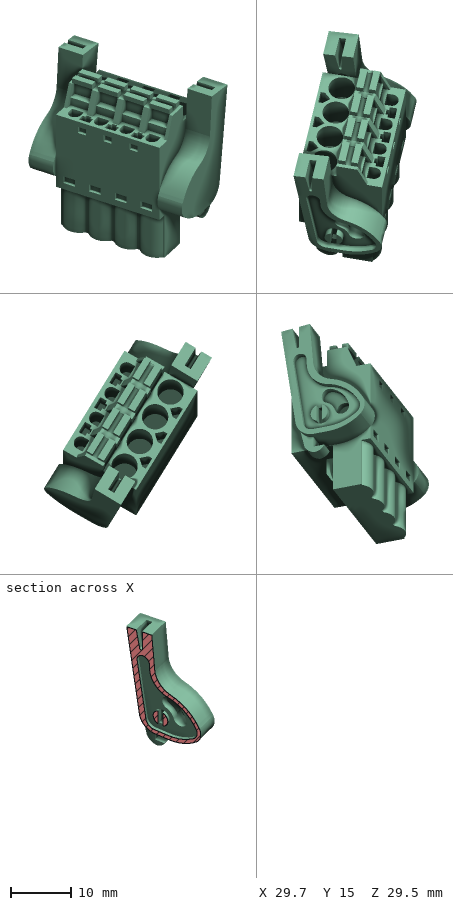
import cadquery as cq
import math


overall_width = 29.7
pole_count = 4
pole_pitch = 5.0
pole_centres = [(i - (pole_count - 1) / 2) * pole_pitch for i in range(pole_count)]
pole_boundaries = [(i - (pole_count - 2) / 2) * pole_pitch for i in range(pole_count - 1)]

housing_width = 20.02
housing_depth = 14.15
front_ledge_z = 14.32
rear_deck_z = 15.38
rib_top_z = 18.32
rib_front_y = 4.22
rib_foot_y = 2.55
channel_rear_y = 7.75

plug_height = 8.4
plug_rear_y = 6.68
plug_flat_y = 1.63
plug_front_y = 0.6
plug_round_width = 4.45

round_hole_diameter = 4.4
round_hole_y = 10.4
round_hole_depth = 5.95
key_pocket_width = 2.08
key_pocket_rear_y = 13.65
key_pocket_shoulder_y = 12.95
key_pocket_tip_y = 11.82
key_pocket_depth = 4.45
wire_hole_width = 2.25
wire_hole_rear_y = 2.9
wire_hole_centre_y = 1.87
wire_hole_depth = 5.95
test_slot_width = 2.08
test_slot_front_y = 0.65
test_slot_rear_y = 1.93
test_tab_width = 0.95
test_tab_rear_y = 2.35
test_slot_depth = 3.55
window_depth = 0.6
upper_window_size = (1.55, 1.2)
upper_window_z = 12.68
lower_window_size = (2.23, 1.3)
lower_window_z = 1.87

latch_width = 11.88

button_width = 3.85
button_top_z = 19.35
button_rear_y = 7.55
button_lip_z = 18.47
button_face_y = 5.05
button_step_y = 3.7
button_step_z = 15.85
groove_rear_y = 6.35
groove_front_y = 5.35
groove_radius = (groove_rear_y - groove_front_y) / 2
groove_arc_z = 18.62

lever_thickness = 4.72
lever_pocket_depth = 1.07
grip_slot_length = 3.55
pivot_y = 7.28
pivot_z = 3.85
pivot_radius = 1.5
pivot_slot_width = 0.95
pivot_slot_depth = 1.93
guide_path_radius = 3.75
guide_half_width = 1.3
guide_start_angle = 165.5
guide_end_angle = 111.0
guide_slot_depth = 1.2
guide_hole_depth = 2.38
hook_width = 2.5


def side_profile(x, y, z):
    """Workplane parallel to YZ at the given X, started at the point (y, z)."""
    return cq.Workplane("YZ", origin=(x, 0, 0)).moveTo(y, z)


def box_between(x_centre, width, y_range, z_range):
    """Box centred on x_centre that spans the given Y and Z ranges."""
    y_low, y_high = y_range
    z_low, z_high = z_range
    box = cq.Workplane("XY").box(width, y_high - y_low, z_high - z_low, centered=(True, False, False))
    return box.translate((x_centre, y_low, z_low))




def housing_block():
    """Stepped block with a raised middle whose front slopes down to the front ledge."""
    return (
        side_profile(-housing_width / 2, 0, 0)
        .lineTo(0, front_ledge_z)
        .lineTo(rib_foot_y, front_ledge_z)
        .lineTo(rib_front_y, rib_top_z)
        .lineTo(channel_rear_y, rib_top_z)
        .lineTo(channel_rear_y, rear_deck_z)
        .lineTo(housing_depth, rear_deck_z)
        .lineTo(housing_depth, 0)
        .close()
        .extrude(housing_width)
    )


def button_channel(x):
    """Channel for one button, leaving the ribs between the poles."""
    return box_between(x, button_width, (0, channel_rear_y), (front_ledge_z, rib_top_z))


def plug():
    """Plug below the block with one rounded front per pole."""
    body = box_between(0, housing_width, (plug_flat_y, plug_rear_y), (-plug_height, 0))
    for x in pole_centres:
        rounded_front = (
            cq.Workplane("XY")
            .moveTo(x - plug_round_width / 2, plug_flat_y)
            .threePointArc((x, plug_front_y), (x + plug_round_width / 2, plug_flat_y))
            .close()
            .extrude(-plug_height)
        )
        body = body.union(rounded_front)
    return body


def rear_latch():
    """Latch under the block that ends in a rounded toe."""
    return (
        side_profile(-latch_width / 2, 9.4, 0)
        .lineTo(9.4, -2.82)
        .lineTo(8.52, -4.15)
        .threePointArc((8.32, -4.3), (8.1, -4.15))
        .lineTo(7.78, -3.62)
        .threePointArc((7.78, -3.27), (8.02, -3.03))
        .lineTo(8.4, -2.75)
        .lineTo(8.45, -1.75)
        .threePointArc((8.32, -0.9), (8.0, 0))
        .close()
        .extrude(latch_width)
    )


def round_hole(x):
    """Blind round hole in the rear deck."""
    return (
        cq.Workplane("XY", origin=(x, round_hole_y, rear_deck_z))
        .circle(round_hole_diameter / 2)
        .extrude(-round_hole_depth)
    )


def key_pocket(x):
    """Blind pointed pocket in the rear deck between two poles."""
    half_width = key_pocket_width / 2
    return (
        cq.Workplane("XY", origin=(x, 0, rear_deck_z))
        .moveTo(-half_width, key_pocket_rear_y)
        .lineTo(half_width, key_pocket_rear_y)
        .lineTo(half_width, key_pocket_shoulder_y)
        .lineTo(0, key_pocket_tip_y)
        .lineTo(-half_width, key_pocket_shoulder_y)
        .close()
        .extrude(-key_pocket_depth)
    )


def wire_hole(x):
    """Blind D-shaped wire entry in the front ledge, round towards the front."""
    radius = wire_hole_width / 2
    return (
        cq.Workplane("XY", origin=(x, 0, front_ledge_z))
        .moveTo(-radius, wire_hole_rear_y)
        .lineTo(radius, wire_hole_rear_y)
        .lineTo(radius, wire_hole_centre_y)
        .threePointArc((0, wire_hole_centre_y - radius), (-radius, wire_hole_centre_y))
        .close()
        .extrude(-wire_hole_depth)
    )


def test_slot(x):
    """Blind rectangular slot with a narrow rear tab, between two poles."""
    z_range = (front_ledge_z - test_slot_depth, front_ledge_z)
    slot = box_between(x, test_slot_width, (test_slot_front_y, test_slot_rear_y), z_range)
    tab = box_between(x, test_tab_width, (test_slot_rear_y, test_tab_rear_y), z_range)
    return slot.union(tab)


def front_window(x, z, size):
    """Shallow rectangular window in the front face."""
    width, height = size
    return box_between(x, width, (0, window_depth), (z - height / 2, z + height / 2))


def make_housing():
    """Block, plug and latch in one piece, with all openings cut."""
    body = housing_block().union(plug()).union(rear_latch())
    for x in pole_centres:
        body = body.cut(button_channel(x))
        body = body.cut(round_hole(x))
        body = body.cut(wire_hole(x))
        body = body.cut(front_window(x, lower_window_z, lower_window_size))
    for x in pole_boundaries:
        body = body.cut(key_pocket(x))
        body = body.cut(test_slot(x))
        body = body.cut(front_window(x, upper_window_z, upper_window_size))
    return body




def make_button(x):
    """Button with a round-bottomed groove on top, an overhanging front lip and a front step."""
    return (
        side_profile(x - button_width / 2, button_rear_y, front_ledge_z)
        .lineTo(button_rear_y, button_top_z)
        .lineTo(groove_rear_y, button_top_z)
        .lineTo(groove_rear_y, groove_arc_z)
        .threePointArc(
            ((groove_rear_y + groove_front_y) / 2, groove_arc_z - groove_radius),
            (groove_front_y, groove_arc_z),
        )
        .lineTo(groove_front_y, button_top_z)
        .lineTo(rib_front_y, button_top_z)
        .lineTo(rib_front_y, button_lip_z)
        .lineTo(button_face_y, button_lip_z - groove_radius)
        .lineTo(button_face_y, button_step_z)
        .lineTo(button_step_y, button_step_z)
        .lineTo(button_step_y, front_ledge_z)
        .close()
        .extrude(button_width)
    )




def lever_plate(x):
    """Full-thickness lever: a straight grip arm that widens into a rounded cam."""
    return (
        side_profile(x, 14.08, 20.65)
        .lineTo(11.52, 2.82)
        .tangentArcPoint((8.32, 0), relative=False)
        .lineTo(5.65, 0)
        .tangentArcPoint((-0.12, 2.23), relative=False)
        .threePointArc((-0.83, 3.85), (-0.6, 5.17))
        .lineTo(-0.25, 5.75)
        .tangentArcPoint((5.17, 9.85), relative=False)
        .tangentArcPoint((8.35, 13.5), relative=False)
        .lineTo(8.97, 21.12)
        .close()
        .extrude(lever_thickness)
    )


def lever_pocket(x):
    """Pocket in the -X face of the lever that leaves a rim along its outline."""
    return (
        side_profile(x, 11.9, 14.43)
        .lineTo(10.13, 2.38)
        .tangentArcPoint((8.45, 0.95), relative=False)
        .lineTo(5.65, 0.95)
        .tangentArcPoint((0.95, 2.4), relative=False)
        .threePointArc((0, 3.8), (0.25, 4.8))
        .threePointArc((2.6, 7.57), (6.12, 9.1))
        .threePointArc((8.58, 10.8), (9.5, 13.5))
        .lineTo(9.55, 14.43)
        .threePointArc((10.75, 15.75), (11.9, 14.43))
        .close()
        .extrude(lever_pocket_depth)
    )


def grip_slot(x):
    """Wedge-shaped slot in the top of the grip arm, open towards -X."""
    return (
        side_profile(x, 12.18, 21.38)
        .lineTo(11.4, 17.23)
        .threePointArc((11.1, 16.93), (10.9, 17.23))
        .lineTo(10.9, 21.38)
        .close()
        .extrude(grip_slot_length)
    )


def pivot_pin(x):
    """Round pivot that rises from the pocket floor to the lever face."""
    return side_profile(x, pivot_y, pivot_z).circle(pivot_radius).extrude(lever_pocket_depth)


def pivot_slot(x):
    """Screwdriver slot across the pivot."""
    across = cq.Workplane("YZ", origin=(x, pivot_y, pivot_z)).rect(pivot_slot_width, 2 * pivot_radius)
    disc = side_profile(x, pivot_y, pivot_z).circle(pivot_radius).extrude(pivot_slot_depth)
    return across.extrude(pivot_slot_depth).intersect(disc)


def guide_point(radius, angle):
    """Point (y, z) at the given radius and angle in degrees about the pivot."""
    turn = math.radians(angle)
    return (pivot_y + radius * math.cos(turn), pivot_z + radius * math.sin(turn))


def guide_slot(x):
    """Slot curved around the pivot, with a deeper round hole at its lower end."""
    floor_x = x + lever_pocket_depth
    inner = guide_path_radius - guide_half_width
    outer = guide_path_radius + guide_half_width
    middle_angle = (guide_start_angle + guide_end_angle) / 2
    tip_angle = math.degrees(guide_half_width / guide_path_radius)
    slot = (
        side_profile(floor_x, *guide_point(inner, guide_start_angle))
        .threePointArc(guide_point(inner, middle_angle), guide_point(inner, guide_end_angle))
        .threePointArc(
            guide_point(guide_path_radius, guide_end_angle - tip_angle),
            guide_point(outer, guide_end_angle),
        )
        .threePointArc(guide_point(outer, middle_angle), guide_point(outer, guide_start_angle))
        .close()
        .extrude(guide_slot_depth)
    )
    hole_y, hole_z = guide_point(guide_path_radius, guide_start_angle)
    hole = side_profile(floor_x, hole_y, hole_z).circle(guide_half_width).extrude(guide_hole_depth)
    return slot.union(hole)


def lever_hook(x):
    """Narrow hook below the cam, centred in the lever thickness."""
    return (
        side_profile(x + (lever_thickness - hook_width) / 2, 11.15, 2.0)
        .lineTo(10.35, -1.5)
        .threePointArc((9.68, -2.32), (8.45, -2.85))
        .threePointArc((7.42, -2.5), (6.8, -1.75))
        .lineTo(8.7, -1.75)
        .lineTo(8.7, 2.0)
        .close()
        .extrude(hook_width)
    )


def make_lever(x):
    """Lever whose -X face lies at x."""
    return (
        lever_plate(x)
        .cut(lever_pocket(x))
        .union(pivot_pin(x))
        .cut(pivot_slot(x))
        .cut(guide_slot(x))
        .cut(grip_slot(x))
        .union(lever_hook(x))
    )



housing = make_housing()
buttons = [make_button(x) for x in pole_centres]
levers = [make_lever(x) for x in (-overall_width / 2, overall_width / 2 - lever_thickness)]

result = cq.Compound.makeCompound(
    [housing.val(), *[button.val() for button in buttons], *[lever.val() for lever in levers]]
)